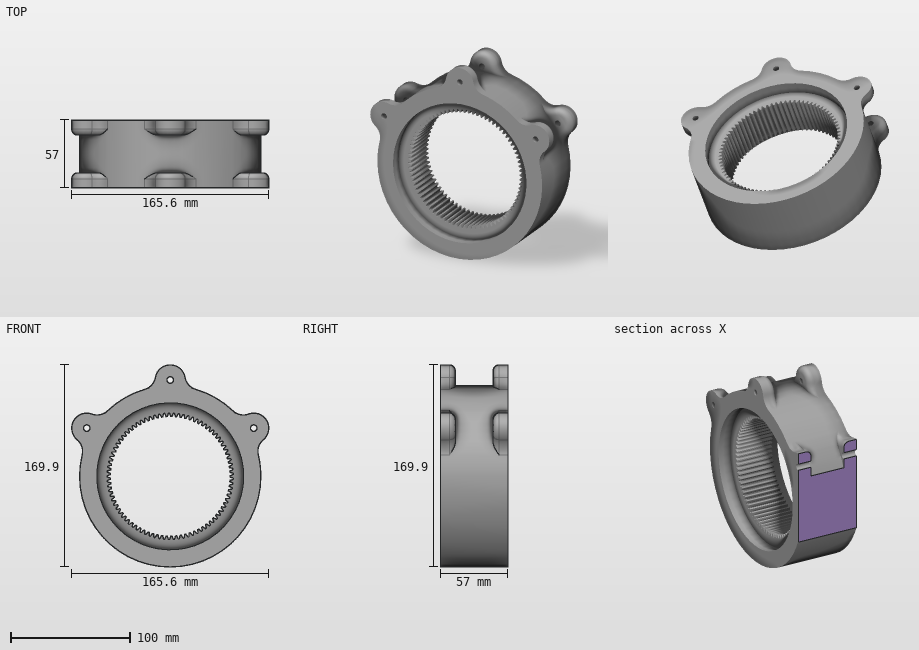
import cadquery as cq
import math

ring_diameter = 152.4
ring_width = 57.0
ring_radius = ring_diameter / 2
front_y = -ring_width / 2
back_y = ring_width / 2

counterbore_diameter = 123.44
counterbore_depth = 11.25

mm_per_inch = 25.4
tooth_count = 81
diametral_pitch = 20
dedendum_factor = 1.25
pressure_angle = math.radians(20)
gear_module = mm_per_inch / diametral_pitch
pitch_radius = tooth_count * gear_module / 2
base_radius = pitch_radius * math.cos(pressure_angle)
tip_radius = pitch_radius - gear_module
root_radius = pitch_radius + dedendum_factor * gear_module
flank_points = 5

lug_angles = (30, 90, 150)
lug_circle_radius = 80.95
lug_radius = 12.7
blend_radius = 12.7
lug_thickness = 12.7
lug_edge_fillet = 5.08
lug_hole_diameter = 5.33
lug_embed_depth = 8.0


def polar(radius, angle):
    return (radius * math.cos(angle), radius * math.sin(angle))


def mirrored(point):
    return (point[0], -point[1])


def plane_at(y):
    """Sketch plane at height y on the ring axis: local x is X, local y is Z, normal is -Y."""
    return cq.Workplane("XZ", origin=(0, y, 0))


def involute(angle):
    return math.tan(angle) - angle


def half_gap_angle(radius):
    """Half the angle of the space between two teeth at a given radius."""
    flank_angle = math.acos(base_radius / radius)
    return math.pi / (2 * tooth_count) + involute(pressure_angle) - involute(flank_angle)


def make_gear_bore():
    """Toothed bore profile extruded through the ring, with a tooth centred on +X."""
    pitch_angle = 2 * math.pi / tooth_count
    radius_step = (root_radius - tip_radius) / (flank_points - 1)
    radii = [tip_radius + i * radius_step for i in range(flank_points)]
    tip_gap = half_gap_angle(tip_radius)

    profile = plane_at(back_y).moveTo(*polar(tip_radius, pitch_angle / 2 - tip_gap))
    for tooth in range(tooth_count):
        gap = (tooth + 0.5) * pitch_angle
        rising = [polar(r, gap - half_gap_angle(r)) for r in radii]
        falling = [polar(r, gap + half_gap_angle(r)) for r in reversed(radii)]
        profile = profile.spline(rising[1:], includeCurrent=True)
        profile = profile.threePointArc(polar(root_radius, gap), falling[0])
        profile = profile.spline(falling[1:], includeCurrent=True)
        next_tooth = gap + pitch_angle / 2
        next_flank = gap + pitch_angle - tip_gap
        profile = profile.threePointArc(polar(tip_radius, next_tooth), polar(tip_radius, next_flank))
    return profile.close().extrude(ring_width)


def make_lug():
    """Lug plate on +X at the -Y end, blended into the ring and rounded on its inner edge."""
    blend_distance = ring_radius + blend_radius
    center_distance = lug_radius + blend_radius
    blend_angle = math.acos(
        (blend_distance**2 + lug_circle_radius**2 - center_distance**2)
        / (2 * blend_distance * lug_circle_radius)
    )
    blend_x, blend_z = polar(blend_distance, blend_angle)
    lug_tangent_angle = math.atan2(blend_z, blend_x - lug_circle_radius)

    lug_tangent_x, lug_tangent_z = polar(lug_radius, lug_tangent_angle)
    lug_tangent = (lug_circle_radius + lug_tangent_x, lug_tangent_z)
    ring_tangent = polar(ring_radius, blend_angle)
    inner_corner = polar(ring_radius - lug_embed_depth, blend_angle)

    toward_ring = blend_angle + math.pi
    toward_lug = lug_tangent_angle + math.pi
    mid_x, mid_z = polar(blend_radius, (toward_ring + toward_lug) / 2)
    blend_mid = (blend_x + mid_x, blend_z + mid_z)

    plate = (
        plane_at(front_y + lug_thickness)
        .moveTo(*mirrored(inner_corner))
        .lineTo(*mirrored(ring_tangent))
        .threePointArc(mirrored(blend_mid), mirrored(lug_tangent))
        .threePointArc((lug_circle_radius + lug_radius, 0), lug_tangent)
        .threePointArc(blend_mid, ring_tangent)
        .lineTo(*inner_corner)
        .close()
        .extrude(lug_thickness)
    )
    rounded_edges = plate.faces(">Y").edges("%CIRCLE")
    plate = plate.newObject(rounded_edges.vals()).fillet(lug_edge_fillet)
    hole = (
        plane_at(front_y + lug_thickness)
        .center(lug_circle_radius, 0)
        .circle(lug_hole_diameter / 2)
        .extrude(lug_thickness)
    )
    return plate.cut(hole)


def add_lugs(body):
    front_lug = make_lug()
    for lug in (front_lug, front_lug.mirror("XZ")):
        for angle in lug_angles:
            body = body.union(lug.rotate((0, 0, 0), (0, 1, 0), -angle))
    return body


def make_counterbore(inner_y):
    """Round pocket running from inner_y toward -Y by the counterbore depth."""
    return plane_at(inner_y).circle(counterbore_diameter / 2).extrude(counterbore_depth)


ring = plane_at(back_y).circle(ring_radius).extrude(ring_width)
result = (
    add_lugs(ring)
    .cut(make_gear_bore())
    .cut(make_counterbore(front_y + counterbore_depth))
    .cut(make_counterbore(back_y))
)